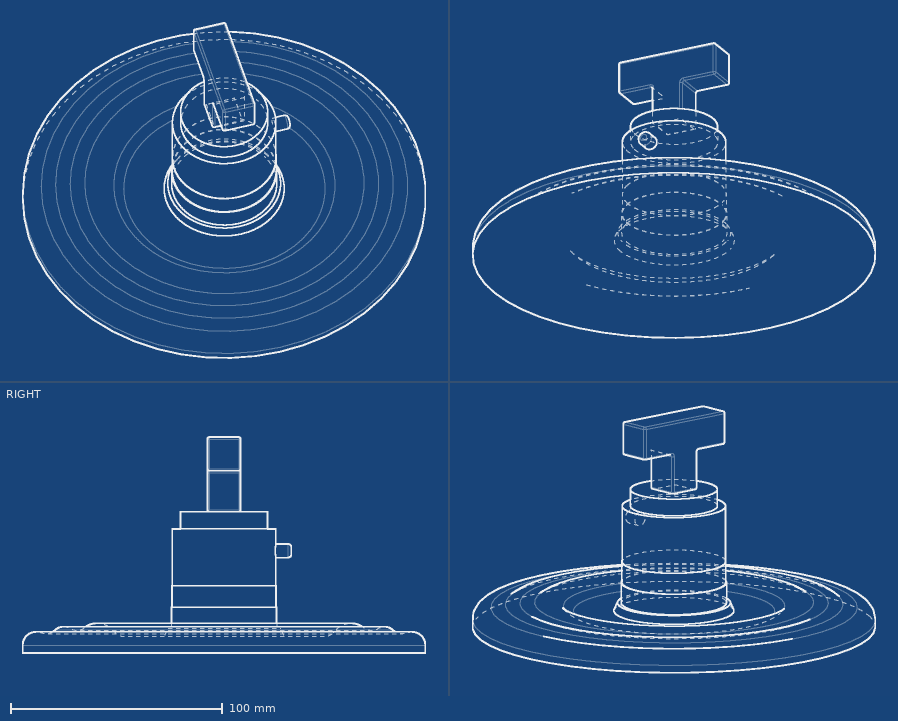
import cadquery as cq

plate_radius = 95.25
rim_height = 3.75
floor_radius = 47.6
floor_height = 7.9
ring_joints = [
    (86.6, 9.72),
    (79.8, 11.05),
    (72.9, 11.75),
    (66.0, 12.15),
    (52.3, 10.5),
]

seat_bottom_radius = 28.4
seat_top_radius = 26.7
seat_top = 11.8

skirt_radius = 24.9
skirt_top = 21.7
band_radius = 24.6
band_top = 31.8
body_radius = 24.5
body_top = 58.8
collar_radius = 20.6
collar_top = 66.9

handle_top = 102.19
bar_length = 51.2
bar_height = 16.0
handle_thickness = 15.8
edge_round = 1.0

pin_radius = 3.3
pin_height = 48.4
pin_reach = 31.9
pin_tip_round = 1.7


def wall_plate():
    profile = (
        cq.Workplane("XZ")
        .lineTo(plate_radius, 0)
        .lineTo(plate_radius, rim_height)
    )
    for joint in ring_joints:
        profile = profile.tangentArcPoint(joint, relative=False)
    profile = profile.tangentArcPoint((floor_radius, floor_height), relative=False)
    return profile.lineTo(0, floor_height).close().revolve(360, (0, 0), (0, 1))


def seat():
    profile = cq.Workplane("XZ").polyline([
        (0, floor_height),
        (seat_bottom_radius, floor_height),
        (seat_top_radius, seat_top),
        (0, seat_top),
    ])
    return profile.close().revolve(360, (0, 0), (0, 1))


def cylinder(radius, bottom, top):
    return cq.Workplane("XY").workplane(offset=bottom).circle(radius).extrude(top - bottom)


def valve_body():
    skirt = cylinder(skirt_radius, seat_top, skirt_top)
    band = cylinder(band_radius, skirt_top, band_top)
    body = cylinder(body_radius, band_top, body_top)
    collar = cylinder(collar_radius, body_top, collar_top)
    return skirt.union(band).union(body).union(collar)


def t_handle():
    bar_bottom = handle_top - bar_height
    half_bar = bar_length / 2
    half_stem = handle_thickness / 2
    outline = cq.Workplane("XZ", origin=(0, half_stem, 0)).polyline([
        (-half_stem, collar_top),
        (half_stem, collar_top),
        (half_stem, bar_bottom),
        (half_bar, bar_bottom),
        (half_bar, handle_top),
        (-half_bar, handle_top),
        (-half_bar, bar_bottom),
        (-half_stem, bar_bottom),
    ])
    return outline.close().extrude(handle_thickness).edges().fillet(edge_round)


def stop_pin():
    pin = cq.Workplane("XZ", origin=(0, 0, pin_height)).circle(pin_radius).extrude(-pin_reach)
    return pin.faces(">Y").edges().fillet(pin_tip_round)


result = (
    wall_plate()
    .union(seat())
    .union(valve_body())
    .union(t_handle())
    .union(stop_pin())
)